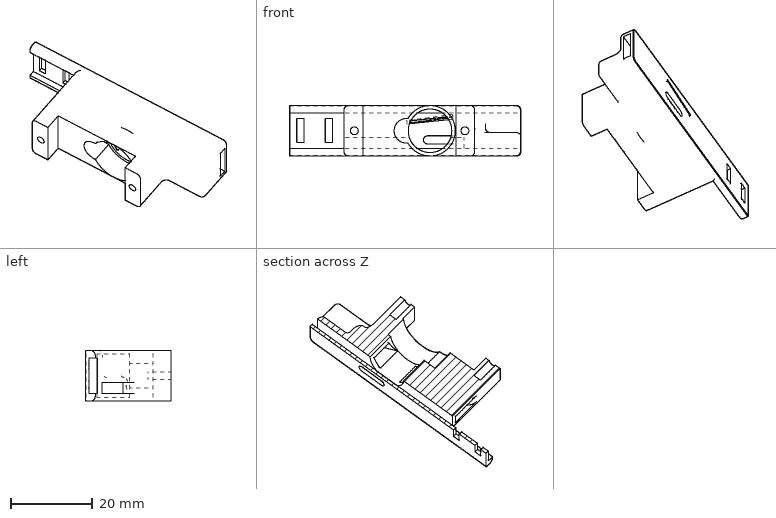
import cadquery as cq
import math

length = 56.95
depth = 21.15
height = 12.5
round_radius = 1.2
back_chamfer = 0.15

body_left = 13.4
body_right = 45.55
recess_left = 18.05
recess_right = 41.0
recess_depth = 4.5
mid_height = height / 2

tongue_front = 18.7
shelf_front = 16.9
ledge_front = 10.7
ledge_top = 5.8
gusset_width = 2.6
gusset_rise = 4.95

bore_x = 34.6
bore_diameter = 12.4
bore_floor = 10.3
inner_bore_diameter = 10.7
lobe_x = 28.75
lobe_diameter = 6.05

screw_diameter = 1.95
screw_depth = 5.7
screw_left = 15.95
screw_right = 43.2

channel_front = 18.2
channel_back = 20.15
channel_bottom = 1.9
channel_top = 10.6

strap_slot_width = 1.75
strap_slot_height = 5.85
strap_slot_centers = (2.7, 9.7)
strap_slot_z = 6.3
long_slot_left = 33.0
long_slot_right = 41.0
long_slot_height = 1.95
long_slot_z = 4.0
thin_slot_height = 0.7
thin_slot_length = 11.4
thin_slot_z = 8.85
thin_slot_front_angle = 6.0
thin_slot_back_angle = 7.5
thin_slot_back_rise = 0.35

pocket_mouth_front = 11.85
pocket_widest_front = 10.55
pocket_back = 17.0
pocket_end = 42.9
pocket_bottom = channel_bottom
pocket_top = 4.6
pocket_back_radius = 2.0
pocket_tip_radius = 1.9
pocket_tip_y = 13.95
pocket_taper_angle = 24.0
pocket_flare_radius = 2.75


def box(x0, x1, y0, y1, z0, z1):
    """Axis-aligned box between two corners."""
    return cq.Workplane("XY").box(x1 - x0, y1 - y0, z1 - z0, centered=False).translate((x0, y0, z0))


def cylinder_y(x, z, diameter, y0, y1):
    """Cylinder along Y from y0 to y1."""
    return cq.Workplane("XZ", origin=(x, y0, z)).circle(diameter / 2).extrude(y0 - y1)


def make_shell():
    """Body with tongue, shelf, ledge and gusset, all edges rounded."""
    body = box(body_left, body_right, 0, depth, 0, height)
    tongue = box(0, body_left, tongue_front, depth, 0, height)
    shelf = box(body_right, length, shelf_front, depth, 0, height)
    ledge = box(body_right, length, ledge_front, shelf_front, 0, ledge_top)
    gusset = (
        cq.Workplane("YZ", origin=(body_right, 0, 0))
        .moveTo(shelf_front, ledge_top)
        .lineTo(shelf_front, ledge_top + gusset_rise)
        .lineTo(shelf_front - gusset_rise, ledge_top)
        .close()
        .extrude(gusset_width)
    )
    shell = body.union(tongue).union(shelf).union(ledge).union(gusset)

    tol = 0.05
    ledge_lip = cq.selectors.BoxSelector(
        (body_right + tol, ledge_front - tol, ledge_top - tol),
        (length - tol, ledge_front + tol, ledge_top + tol),
    )
    shell = shell.edges(ledge_lip).fillet(round_radius)

    slope_x = body_right + gusset_width
    slope_y = shelf_front - gusset_rise / 2
    slope_z = ledge_top + gusset_rise / 2
    gusset_slope = cq.selectors.NearestToPointSelector((slope_x, slope_y, slope_z))
    shell = shell.edges(gusset_slope).fillet(round_radius)

    gusset_corner = cq.selectors.BoxSelector(
        (body_right - tol, ledge_front - tol, tol),
        (slope_x + tol, shelf_front + tol, height - tol),
    )
    shelf_foot = cq.selectors.BoxSelector(
        (body_right, shelf_front - tol, ledge_top - tol),
        (length - tol, shelf_front + tol, ledge_top + tol),
    )
    shell = shell.edges(gusset_corner + shelf_foot).fillet(round_radius)

    shell = shell.edges("(>Z or <Z or >X) exc (<X or <Y or >Y)").fillet(round_radius)
    return shell.edges("|X and >Y").chamfer(back_chamfer)


def make_front_cuts():
    """Recess between the legs, stepped bore with its side lobe, and screw holes."""
    recess = box(recess_left, recess_right, 0, recess_depth, 0, height)
    bore = cylinder_y(bore_x, mid_height, bore_diameter, recess_depth, bore_floor)
    inner_bore = cylinder_y(bore_x, mid_height, inner_bore_diameter, bore_floor, channel_front)
    lobe_radius = lobe_diameter / 2
    lobe = cylinder_y(lobe_x, mid_height, lobe_diameter, recess_depth, bore_floor)
    lobe_link = box(
        lobe_x, bore_x, recess_depth, bore_floor, mid_height - lobe_radius, mid_height + lobe_radius
    )
    cuts = recess.union(bore).union(inner_bore).union(lobe).union(lobe_link)
    for x in (screw_left, screw_right):
        cuts = cuts.union(cylinder_y(x, mid_height, screw_diameter, 0, screw_depth))
    return cuts


def make_channel_cuts():
    """Strap channel along the full length and the slots through the back skin."""
    cuts = box(0, length, channel_front, channel_back, channel_bottom, channel_top)

    for x in strap_slot_centers:
        half_width = strap_slot_width / 2
        half_height = strap_slot_height / 2
        slot = box(
            x - half_width, x + half_width, channel_back, depth,
            strap_slot_z - half_height, strap_slot_z + half_height,
        )
        cuts = cuts.union(slot)

    long_slot = (
        cq.Workplane("XZ", origin=((long_slot_left + long_slot_right) / 2, channel_back, long_slot_z))
        .slot2D(long_slot_right - long_slot_left, long_slot_height)
        .extrude(channel_back - depth)
    )

    thin_slot = (
        cq.Workplane("XZ", origin=(bore_x, channel_back, thin_slot_z))
        .transformed(rotate=(0, 0, thin_slot_front_angle))
        .rect(thin_slot_length, thin_slot_height)
        .transformed(rotate=(0, 0, thin_slot_back_angle - thin_slot_front_angle))
        .transformed(offset=(0, thin_slot_back_rise, channel_back - depth))
        .rect(thin_slot_length, thin_slot_height)
        .loft(ruled=True)
    )
    return cuts.union(long_slot).union(thin_slot)


def make_cable_pocket():
    """Pocket from the left side: flared at the mouth, tapered toward its rounded closed end."""
    taper = math.radians(pocket_taper_angle)
    taper_end_x = pocket_end - pocket_tip_radius * (1 - math.sin(taper))
    taper_end_y = pocket_tip_y - pocket_tip_radius * math.cos(taper)
    taper_start_x = taper_end_x - (taper_end_y - pocket_widest_front) / math.tan(taper)
    return (
        cq.Workplane("XY", origin=(0, 0, pocket_bottom))
        .moveTo(body_left, pocket_back)
        .lineTo(pocket_end - pocket_back_radius, pocket_back)
        .radiusArc((pocket_end, pocket_back - pocket_back_radius), pocket_back_radius)
        .lineTo(pocket_end, pocket_tip_y)
        .radiusArc((taper_end_x, taper_end_y), pocket_tip_radius)
        .lineTo(taper_start_x, pocket_widest_front)
        .lineTo(body_left + pocket_flare_radius, pocket_mouth_front)
        .radiusArc((body_left, pocket_mouth_front - pocket_flare_radius), -pocket_flare_radius)
        .close()
        .extrude(pocket_top - pocket_bottom)
    )


result = make_shell().cut(make_front_cuts()).cut(make_channel_cuts()).cut(make_cable_pocket())